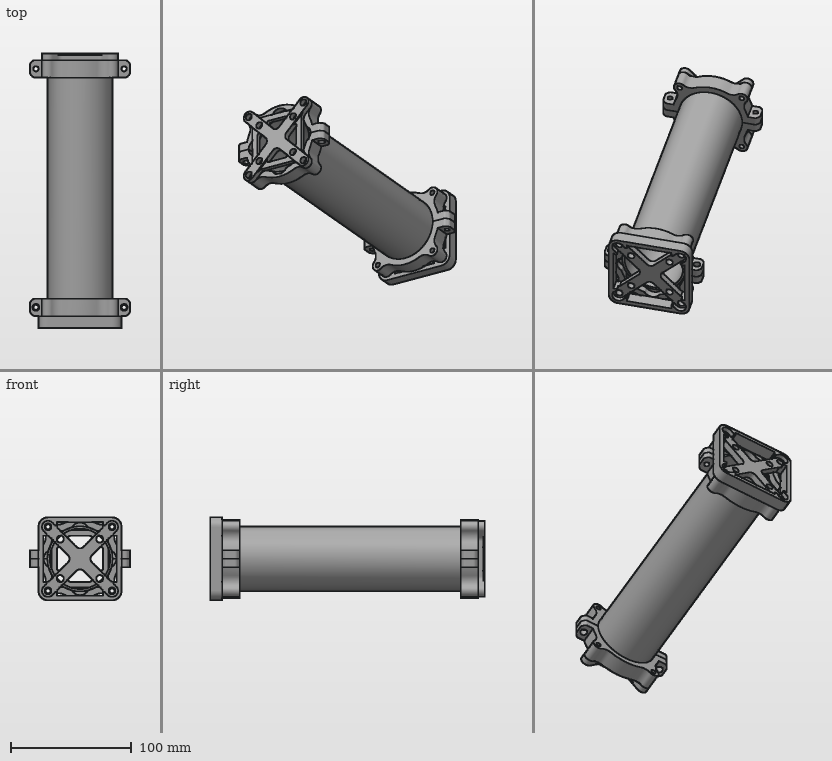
import cadquery as cq
import math

total_length = 228.0
front_cap_depth = 10.0
clamp_width = 14.5
back_cap_depth = 5.5

tube_outer_diameter = 54.0
tube_inner_diameter = 50.0
tube_end_recess = 6.2

screw_pitch = 53.1
corner_offset = screw_pitch / 2
lobe_radius = 5.0
clearance_diameter = 5.7
thread_diameter = 4.0

arm_length = corner_offset * math.sqrt(2)
arm_hole_offset = 16.5
cross_center_fillet = 4.0

frame_size = 69.0
frame_wall = 4.0
frame_opening = frame_size - 2 * frame_wall
frame_corner_radius = frame_size / 2 - corner_offset
window_length = 38.0
recess_size = 55.0
cross_recess = 4.0

ring_inner_size = 38.0
ring_wall = 4.8
ring_outer_size = ring_inner_size + 2 * ring_wall
ring_setback = 1.4
ring_outer_fillet = 5.0
ring_inner_fillet = 1.5

clamp_outer_radius = 32.5
clamp_blend_radius = 9.0
lug_span = 83.2
lug_height = 14.4
lug_chamfer = 3.0
lug_corner_fillet = 3.0
lug_hole_span = 73.2
scoop_count = 8
scoop_radius = 7.5
scoop_center_radius = 22.5
scoop_blend_radius = 2.3

diagonals = [45, 135, 225, 315]


def plane_at(y):
    """XZ plane at the given Y, with its normal along +Y and local y along -Z."""
    return cq.Workplane(cq.Plane(origin=(0, y, 0), xDir=(1, 0, 0), normal=(0, 1, 0)))


def square_points(offset):
    """Four points at the corners of a centered square."""
    return [(sx * offset, sz * offset) for sx in (-1, 1) for sz in (-1, 1)]


def diagonal_cross(y, depth):
    """Four round-ended diagonal arms joined at the axis, with rounded inner corners."""
    cross = plane_at(y).slot2D(2 * (arm_length + lobe_radius), 2 * lobe_radius, 45).extrude(depth)
    cross = cross.union(cross.mirror("YZ"))
    reach = lobe_radius * math.sqrt(2)
    inner_corners = cq.selectors.BoxSelector(
        (-1.1 * reach, y - 2.3, -1.1 * reach), (1.1 * reach, y + depth + 2.3, 1.1 * reach)
    )
    return cross.edges("|Y").edges(inner_corners).fillet(cross_center_fillet)


def cap_holes(y, depth):
    """Corner screw holes and inner arm holes of a cap."""
    points = square_points(corner_offset) + square_points(arm_hole_offset)
    return plane_at(y).pushPoints(points).circle(clearance_diameter / 2).extrude(depth)


def make_front_cap():
    """Square frame with a recessed diagonal cross."""
    frame = plane_at(0).rect(frame_size, frame_size).extrude(front_cap_depth)
    frame = frame.edges("|Y").fillet(frame_corner_radius)
    for width, height in ((frame_opening, window_length), (window_length, frame_opening)):
        frame = frame.cut(plane_at(0).rect(width, height).extrude(front_cap_depth))
    frame = frame.cut(plane_at(0).rect(recess_size, recess_size).extrude(cross_recess))
    cap = frame.cut(diagonal_cross(0, cross_recess))
    cap = cap.union(diagonal_cross(cross_recess, front_cap_depth - cross_recess))
    return cap.cut(cap_holes(0, front_cap_depth))


def make_back_cap():
    """Diagonal cross braced by a square ring."""
    start = total_length - back_cap_depth
    ring_depth = back_cap_depth - ring_setback
    cross = diagonal_cross(start, ring_depth)
    ring = plane_at(start).rect(ring_outer_size, ring_outer_size).extrude(ring_depth)
    ring = ring.cut(plane_at(start).rect(ring_inner_size, ring_inner_size).extrude(ring_depth))
    braced = cross.union(ring)

    for half_size, radius in (
        (ring_outer_size / 2, ring_outer_fillet),
        (ring_inner_size / 2, ring_inner_fillet),
    ):
        near_arm = half_size - lobe_radius * math.sqrt(2)
        corners = [(sx * near_arm, sz * half_size) for sx in (-1, 1) for sz in (-1, 1)]
        corners += [(z, x) for x, z in corners]
        for x, z in corners:
            middle = (x, start + ring_depth / 2, z)
            braced = braced.edges(cq.selectors.NearestToPointSelector(middle)).fillet(radius)

    cap = braced.union(diagonal_cross(start, back_cap_depth))
    return cap.cut(cap_holes(start, back_cap_depth))


def make_tube():
    """Plain tube held between the two clamps."""
    start = front_cap_depth + tube_end_recess
    length = total_length - back_cap_depth - tube_end_recess - start
    tube = plane_at(start).circle(tube_outer_diameter / 2).circle(tube_inner_diameter / 2)
    return tube.extrude(length)


def polar(radius, angle):
    return (radius * math.cos(math.radians(angle)), radius * math.sin(math.radians(angle)))


def clamp_lobe():
    """Screw lobe on the +X side, blended into the clamp ring by two concave arcs."""
    blend_reach = clamp_outer_radius + clamp_blend_radius
    lobe_reach = lobe_radius + clamp_blend_radius
    cosine = (blend_reach**2 + arm_length**2 - lobe_reach**2) / (2 * blend_reach * arm_length)
    blend_angle = math.degrees(math.acos(cosine))
    blend_x, blend_y = polar(blend_reach, blend_angle)

    ring_tangent = polar(clamp_outer_radius, blend_angle)
    share = lobe_radius / lobe_reach
    lobe_tangent = (arm_length + share * (blend_x - arm_length), share * blend_y)
    middle_x = (ring_tangent[0] + lobe_tangent[0]) / 2 - blend_x
    middle_y = (ring_tangent[1] + lobe_tangent[1]) / 2 - blend_y
    scale = clamp_blend_radius / math.hypot(middle_x, middle_y)
    blend_middle = (blend_x + scale * middle_x, blend_y + scale * middle_y)

    def below(point):
        return (point[0], -point[1])

    return (
        plane_at(0)
        .moveTo(0, 0)
        .lineTo(*ring_tangent)
        .threePointArc(blend_middle, lobe_tangent)
        .threePointArc((arm_length + lobe_radius, 0), below(lobe_tangent))
        .threePointArc(below(blend_middle), below(ring_tangent))
        .close()
        .extrude(clamp_width)
    )


def clamp_lugs():
    """Bar across the clamp whose ends form the two bolting lugs."""
    bar = cq.Workplane("XY").box(lug_span, clamp_width, lug_height)
    bar = bar.edges("|Z").chamfer(lug_chamfer)
    bar = bar.edges("|Z").fillet(lug_corner_fillet)
    return bar.translate((0, clamp_width / 2, 0))


def scalloped_bore():
    """Bore space in front of the tube end, widened by a ring of blended round scoops."""
    bore = plane_at(0).circle(tube_outer_diameter / 2).extrude(tube_end_recess)
    scoop_centers = plane_at(0).polarArray(scoop_center_radius, 0, 360, scoop_count)
    bore = bore.union(scoop_centers.circle(scoop_radius).extrude(tube_end_recess))
    return bore.edges("|Y").fillet(scoop_blend_radius)


def make_clamp_half(side):
    """Half clamp above (side = 1) or below (side = -1) the axis, cap face at Y = 0."""
    clamp = plane_at(0).circle(clamp_outer_radius).extrude(clamp_width).union(clamp_lugs())
    for angle in diagonals:
        clamp = clamp.union(clamp_lobe().rotate((0, 0, 0), (0, 1, 0), angle))
    clamp = clamp.cut(plane_at(0).circle(tube_outer_diameter / 2).extrude(clamp_width))
    clamp = clamp.cut(scalloped_bore())

    screw_holes = plane_at(0).pushPoints(square_points(corner_offset))
    clamp = clamp.cut(screw_holes.circle(thread_diameter / 2).extrude(clamp_width))

    lug_hole_diameter = clearance_diameter if side > 0 else thread_diameter
    lug_points = [(sx * lug_hole_span / 2, clamp_width / 2) for sx in (-1, 1)]
    lug_holes = cq.Workplane("XY").pushPoints(lug_points).circle(lug_hole_diameter / 2)
    clamp = clamp.cut(lug_holes.extrude(lug_height / 2, both=True))

    half_space = cq.Workplane("XY").box(lug_span, clamp_width, lug_span)
    return clamp.intersect(half_space.translate((0, clamp_width / 2, side * lug_span / 2)))


front_cap = make_front_cap()
back_cap = make_back_cap()
tube = make_tube()

clamp_halves = []
for side in (1, -1):
    half = make_clamp_half(side)
    clamp_halves.append(half.translate((0, front_cap_depth, 0)).val())
    turned = half.rotate((0, 0, 0), (1, 0, 0), 180)
    clamp_halves.append(turned.translate((0, total_length - back_cap_depth, 0)).val())

result = cq.Compound.makeCompound([front_cap.val(), back_cap.val(), tube.val(), *clamp_halves])